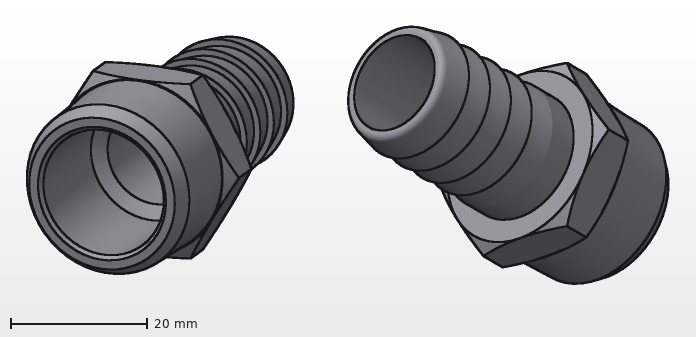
import cadquery as cq
import math

total_length = 50.5
barb_pitch = 5.0
barb_count = 5
thread_length = 13.5
hex_end = total_length - (barb_count + 1) * barb_pitch
thread_chamfer_length = 2.25

thread_root_radius = 13.4
thread_tip_radius = 13.05
thread_face_radius = 11.65

across_flats = 27.0
across_corners = across_flats / math.cos(math.radians(30))
hex_chamfer_angle = 30.0

barb_radius = 10.0
barb_neck_radius = 9.0
tip_round = 1.0

bore_radius = 7.5
wide_bore_radius = 9.65
mouth_radius = 10.25
mouth_chamfer_length = 0.6
wide_bore_depth = 18.2
bore_cone_angle = 59.0


def revolve_about_y(points):
    """Spin a closed (radius, y) outline about the Y axis."""
    return cq.Workplane("XY").polyline(points).close().revolve(360, (0, 0, 0), (0, 1, 0))


def make_thread_body():
    return revolve_about_y([
        (0, 0),
        (thread_face_radius, 0),
        (thread_tip_radius, thread_chamfer_length),
        (thread_root_radius, thread_length),
        (0, thread_length),
    ])


def make_hexagon():
    """Hexagon with corners on the X axis and both end faces chamfered."""
    length = hex_end - thread_length
    prism = (
        cq.Workplane("XZ", origin=(0, hex_end, 0))
        .polygon(6, across_corners)
        .extrude(length)
    )
    flat_radius = across_flats / 2
    corner_radius = across_corners / 2
    drop = (corner_radius - flat_radius) * math.tan(math.radians(hex_chamfer_angle))
    envelope = revolve_about_y([
        (0, thread_length),
        (flat_radius, thread_length),
        (corner_radius, thread_length + drop),
        (corner_radius, hex_end - drop),
        (flat_radius, hex_end),
        (0, hex_end),
    ])
    return prism.intersect(envelope)


def make_hose_tail():
    """Plain collar followed by barbs that narrow towards the free end."""
    points = [(0, hex_end), (barb_radius, hex_end)]
    for i in range(barb_count):
        barb_start = hex_end + (i + 1) * barb_pitch
        points.append((barb_radius, barb_start))
        points.append((barb_neck_radius, barb_start + barb_pitch))
    points.append((0, total_length))
    return revolve_about_y(points).faces(">Y").edges().fillet(tip_round)


def make_bore():
    """Wide bore with a chamfered mouth, coned down to the hose bore."""
    cone_length = (wide_bore_radius - bore_radius) / math.tan(math.radians(bore_cone_angle))
    return revolve_about_y([
        (0, 0),
        (mouth_radius, 0),
        (wide_bore_radius, mouth_chamfer_length),
        (wide_bore_radius, wide_bore_depth),
        (bore_radius, wide_bore_depth + cone_length),
        (bore_radius, total_length),
        (0, total_length),
    ])


result = make_thread_body().union(make_hexagon()).union(make_hose_tail()).cut(make_bore())